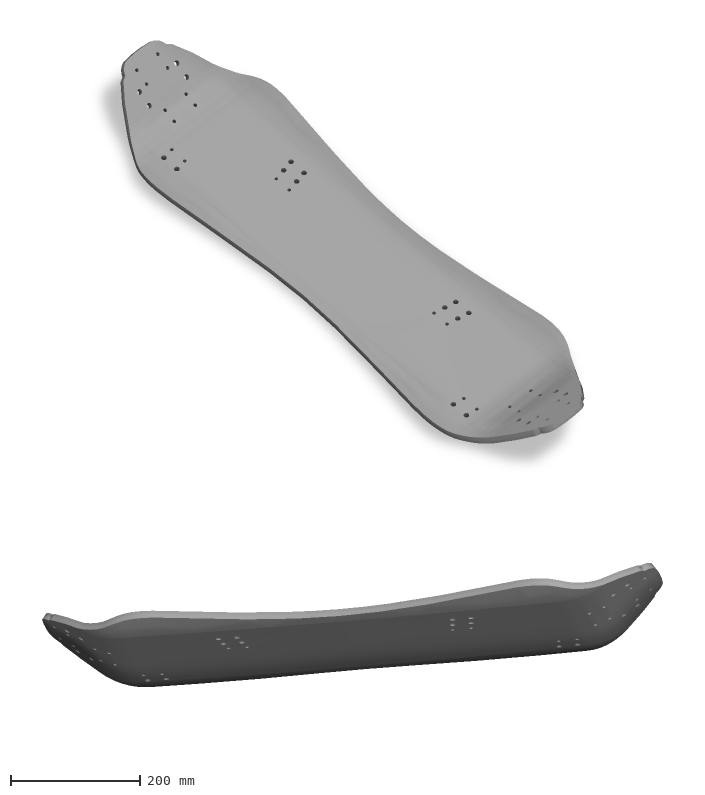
import cadquery as cq
import math

overall_length = 972.0
thickness = 12.0
rocker_length = 347.0
rocker_angle = 1.0
bend_radius = 117.0
kick_angle = 34.2
overhang = 29.0

floor_half_width = 87.5
rail_half_width = 134.0
rail_rise = 13.0
curve_rise_ratio = 0.3

outline_stations = [
    (0.0, 104.0), (97.0, 109.0), (199.0, 121.0), (253.0, 127.0), (301.0, 132.0), (355.0, 122.5),
    (374.0, 112.0), (393.0, 102.0), (418.0, 87.5), (442.0, 75.0), (476.0, 52.5), (531.0, 19.0),
]
cutter_height = 49.0

corner_start = (2.0, 27.0)
corner_middle = (7.0, 36.0)
corner_end = (19.0, 44.0)
stock_half_width = 107.0

small_hole = 6.0
large_hole = 9.0
kick_small_rows = [378.0, 401.5, 452.0, 478.0]
kick_small_y = 22.0
kick_large_rows = [423.0, 449.0]
kick_large_y = 40.0
bolt_pitch = 29.0
inner_pairs = [(170.0, 58.0, large_hole), (166.0, 39.0, large_hole), (162.0, 19.0, small_hole)]
outer_pairs = [(313.0, -60.0, small_hole), (310.0, -80.0, large_hole)]

rocker_radius = rocker_length / math.radians(rocker_angle)
bend_length = bend_radius * math.radians(kick_angle - rocker_angle)
bend_end = rocker_length + bend_length


def arc_step(radius, start_angle, end_angle):
    """Return the X and Z travelled along an arc that climbs between two slopes."""
    along = radius * (math.sin(end_angle) - math.sin(start_angle))
    up = radius * (math.cos(start_angle) - math.cos(end_angle))
    return along, up


def station(distance):
    """Return X, Z and slope (radians) of the mid-thickness line on the +X half."""
    angle = min(distance, rocker_length) / rocker_radius
    x, z = arc_step(rocker_radius, 0, angle)
    if distance > rocker_length:
        start_angle = angle
        angle += (min(distance, bend_end) - rocker_length) / bend_radius
        along, up = arc_step(bend_radius, start_angle, angle)
        x += along
        z += up
    straight = max(distance - bend_end, 0)
    x += straight * math.cos(angle)
    z += straight * math.sin(angle)
    return x, z + thickness / 2, angle


def board_half_length():
    """Distance along the board at which the lower tip corner reaches full length."""
    x, _, angle = station(bend_end)
    tip_x = (overall_length - thickness * math.sin(angle)) / 2
    return bend_end + (tip_x - x) / math.cos(angle)


half_length = board_half_length()
path_length = half_length + overhang


def section_plane(distance):
    """Plane across the board: local X is global Y, local Y is the surface normal."""
    x, z, angle = station(distance)
    return cq.Plane((x, 0, z), (0, 1, 0), (math.cos(angle), 0, math.sin(angle)))


def surface_plane(distance):
    """Plane tangent to the board: local X runs to the tip, local Z is the normal."""
    x, z, angle = station(distance)
    tangent = (math.cos(angle), 0, math.sin(angle))
    return cq.Plane((x, 0, z), tangent, (-math.sin(angle), 0, math.cos(angle)))


def path_point(distance):
    """X and Z of the mid-thickness line."""
    x, z, _ = station(distance)
    return x, z


def blank_half():
    """Concave strip of constant thickness following the camber from centre to tip."""
    path = (
        cq.Workplane("XZ")
        .moveTo(*path_point(0))
        .threePointArc(path_point(rocker_length / 2), path_point(rocker_length))
        .threePointArc(path_point(rocker_length + bend_length / 2), path_point(bend_end))
        .lineTo(*path_point(path_length))
    )
    floor = floor_half_width
    rail = rail_half_width
    top = thickness / 2
    bottom = -top
    middle = (floor + rail) / 2
    middle_rise = rail_rise * curve_rise_ratio
    section = (
        cq.Workplane(section_plane(0))
        .moveTo(-floor, bottom)
        .lineTo(floor, bottom)
        .threePointArc((middle, bottom + middle_rise), (rail, bottom + rail_rise))
        .lineTo(rail, top + rail_rise)
        .threePointArc((middle, top + middle_rise), (floor, top))
        .lineTo(-floor, top)
        .threePointArc((-middle, top + middle_rise), (-rail, top + rail_rise))
        .lineTo(-rail, bottom + rail_rise)
        .threePointArc((-middle, bottom + middle_rise), (-floor, bottom))
        .close()
    )
    return section.sweep(path)


def outline_half():
    """Envelope whose side walls stay square to the cambered surface."""
    planes = [(section_plane(distance), half_width) for distance, half_width in outline_stations]

    def rail_curve(side, level):
        """Smooth curve along one rail, offset from mid-thickness by level."""
        points = [plane.toWorldCoords((side * half_width, level)) for plane, half_width in planes]
        end_direction = (points[-1] - points[-2]).normalized()
        return cq.Edge.makeSpline(points, tangents=[planes[0][0].zDir, end_direction])

    level = cutter_height / 2
    corners = [(-1, -level), (1, -level), (1, level), (-1, level)]
    curves = [rail_curve(side, height) for side, height in corners]
    faces = [cq.Face.makeRuledSurface(curves[i - 1], curves[i]) for i in range(len(curves))]
    for end in (cq.Edge.startPoint, cq.Edge.endPoint):
        rim = cq.Wire.makePolygon([end(curve) for curve in curves], close=True)
        faces.append(cq.Face.makeFromWires(rim))
    return cq.Workplane(cq.Solid.makeSolid(cq.Shell.makeShell(faces)))


def tip_trim():
    """Material beyond the bowed, round-cornered end of the kick."""
    reach = 2 * overhang
    keep = (
        cq.Workplane(surface_plane(half_length))
        .moveTo(-reach, -stock_half_width)
        .lineTo(-corner_end[0], -corner_end[1])
        .threePointArc((-corner_middle[0], -corner_middle[1]), (-corner_start[0], -corner_start[1]))
        .threePointArc((0, 0), (-corner_start[0], corner_start[1]))
        .threePointArc((-corner_middle[0], corner_middle[1]), (-corner_end[0], corner_end[1]))
        .lineTo(-reach, stock_half_width)
        .close()
        .extrude(cutter_height / 2, both=True)
    )
    stock = (
        cq.Workplane(surface_plane(half_length))
        .rect(2 * reach, 2 * stock_half_width)
        .extrude(cutter_height / 2, both=True)
    )
    return stock.cut(keep)


def hole(distance, y, diameter):
    """Cylinder square to the board at one mounting hole."""
    return (
        cq.Workplane(surface_plane(distance))
        .center(0, y)
        .circle(diameter / 2)
        .extrude(cutter_height / 2, both=True)
    )


def drill(body):
    """Cut the kick pattern and the bolt pairs through one half of the board."""
    for side in (-1, 1):
        for row in kick_small_rows:
            body = body.cut(hole(row, side * kick_small_y, small_hole))
        for row in kick_large_rows:
            body = body.cut(hole(row, side * kick_large_y, large_hole))
    for distance, y, diameter in inner_pairs + outer_pairs:
        for step in (0, bolt_pitch):
            body = body.cut(hole(distance + step, y, diameter))
    return body


half = blank_half().intersect(outline_half()).cut(tip_trim())
half = drill(half)
result = half.union(half.mirror("YZ"))